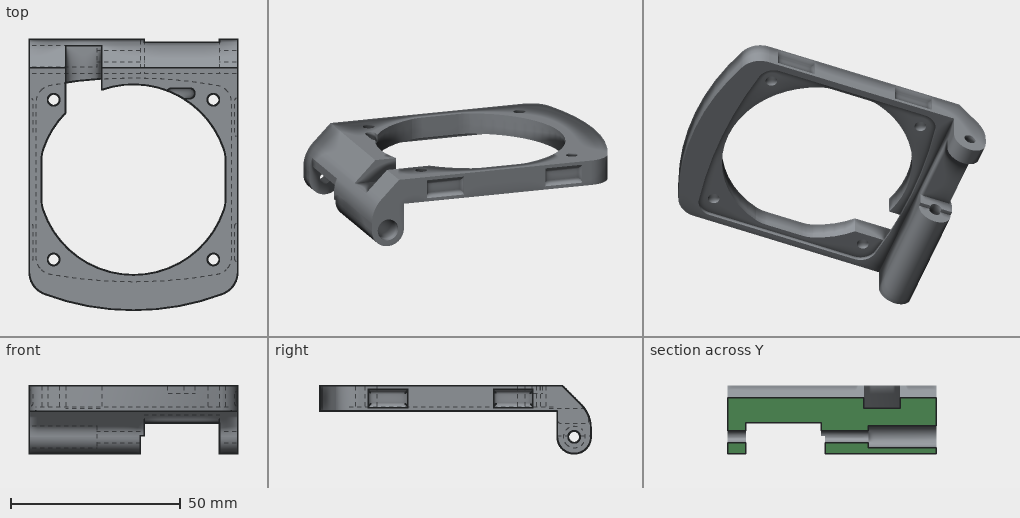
import cadquery as cq
import math


WIDTH = 61.5
LENGTH = 79.8
HEIGHT = 20.0
PLATE_THICKNESS = 7.5
REAR_Y = 41.35
FRONT_ARC_RADIUS = 74.2
FRONT_CORNER_RADIUS = 7.0

OPENING_RADIUS = 28.0
OPENING_WIDTH = 54.1
OPENING_BLEND_RADIUS = 10.0
SCREW_DIAMETER = 3.4
SCREW_SPACING = 47.0

RECESS_DEPTH = 1.3
RECESS_WIDTH = 57.5
RECESS_LENGTH = 60.0
RECESS_BOW_RADIUS = 138.1
RECESS_CORNER_RADIUS = 5.0

WALL_THICKNESS = 10.0
REAR_CHAMFER = 8.5
REAR_BLEND_RADIUS = 10.0
PIN_DIAMETER = 3.4
PIN_BORE_DIAMETER = 6.4
PIN_BORE_DEPTH = 19.95

GAP_LEFT_X = 3.2
GAP_RIGHT_X = 25.3
GAP_CEILING_Z = 9.0
GAP_EDGE_RADIUS = 0.95
GAP_REAR_RELIEF = 0.9
GAP_REAR_RELIEF_TOP_Z = 12.8
KNUCKLE_END_X = 2.0
KNUCKLE_END_CEILING_Z = 5.3

NOTCH_LEFT_X = -19.95
NOTCH_RIGHT_X = -9.4
NOTCH_DEPTH = 6.6

GROOVE_WIDTH = 3.1
GROOVE_DEPTH = 2.15
GROOVE_Y = 25.4
GROOVE_LEFT_X = 9.7
GROOVE_RIGHT_X = 18.0

POCKET_LENGTH = 11.5
POCKET_HEIGHT = 5.5
POCKET_DEPTH = 1.0
POCKET_FLOOR_RADIUS = 0.9
POCKET_SPACING = 36.9

HALF_WIDTH = WIDTH / 2
FRONT_Y = REAR_Y - LENGTH
PLATE_BOTTOM_Z = HEIGHT - PLATE_THICKNESS
WALL_FRONT_Y = REAR_Y - WALL_THICKNESS
KNUCKLE_RADIUS = WALL_THICKNESS / 2
PIN_Y = REAR_Y - KNUCKLE_RADIUS
PIN_Z = KNUCKLE_RADIUS


def box(x_range, y_range, z_range):
    """Box spanning the given (low, high) ranges."""
    spans = [high - low for low, high in (x_range, y_range, z_range)]
    return cq.Workplane("XY").box(*spans, centered=False).translate((x_range[0], y_range[0], z_range[0]))


def plate_outline():
    """Plate with square rear corners and a bowed front with rounded corners."""
    arc_center_y = FRONT_Y + FRONT_ARC_RADIUS
    side_front_y = arc_center_y - math.sqrt(FRONT_ARC_RADIUS**2 - HALF_WIDTH**2)
    return (
        cq.Workplane("XY")
        .moveTo(-HALF_WIDTH, REAR_Y)
        .lineTo(-HALF_WIDTH, side_front_y)
        .threePointArc((0, FRONT_Y), (HALF_WIDTH, side_front_y))
        .lineTo(HALF_WIDTH, REAR_Y)
        .close()
        .extrude(HEIGHT)
        .edges("|Z")
        .edges("<Y")
        .fillet(FRONT_CORNER_RADIUS)
    )


def side_profile():
    """Plate and hinge wall in section, extruded across the whole width."""
    diagonal = math.sqrt(0.5)
    chamfer_foot_z = HEIGHT - REAR_CHAMFER
    tangent_length = REAR_BLEND_RADIUS * math.tan(math.pi / 8)
    blend_center = (REAR_Y - REAR_BLEND_RADIUS, chamfer_foot_z - tangent_length)
    blend_end = tuple(c + REAR_BLEND_RADIUS * diagonal for c in blend_center)
    blend_middle = (
        blend_center[0] + REAR_BLEND_RADIUS * math.cos(math.pi / 8),
        blend_center[1] + REAR_BLEND_RADIUS * math.sin(math.pi / 8),
    )
    return (
        cq.Workplane("YZ", origin=(-HALF_WIDTH, 0, 0))
        .moveTo(FRONT_Y, HEIGHT)
        .lineTo(REAR_Y - REAR_CHAMFER, HEIGHT)
        .lineTo(*blend_end)
        .threePointArc(blend_middle, (REAR_Y, blend_center[1]))
        .lineTo(REAR_Y, PIN_Z)
        .threePointArc((PIN_Y, 0), (WALL_FRONT_Y, PIN_Z))
        .lineTo(WALL_FRONT_Y, PLATE_BOTTOM_Z)
        .lineTo(FRONT_Y, PLATE_BOTTOM_Z)
        .close()
        .extrude(WIDTH)
    )


def opening():
    """Round opening with flattened left and right sides blended into the arcs."""
    disc = cq.Workplane("XY").circle(OPENING_RADIUS).extrude(HEIGHT)
    slab = cq.Workplane("XY").rect(OPENING_WIDTH, WIDTH).extrude(HEIGHT)
    flat_ends = cq.selectors.BoxSelector((-WIDTH, -OPENING_RADIUS / 2, 0), (WIDTH, OPENING_RADIUS / 2, HEIGHT))
    return disc.intersect(slab).edges("|Z").edges(flat_ends).fillet(OPENING_BLEND_RADIUS)


def underside_recess():
    half_width = RECESS_WIDTH / 2
    half_length = RECESS_LENGTH / 2
    bow = RECESS_BOW_RADIUS - math.sqrt(RECESS_BOW_RADIUS**2 - half_width**2)
    corner_y = half_length - bow
    return (
        cq.Workplane("XY", origin=(0, 0, PLATE_BOTTOM_Z))
        .moveTo(-half_width, -corner_y)
        .threePointArc((0, -half_length), (half_width, -corner_y))
        .lineTo(half_width, corner_y)
        .threePointArc((0, half_length), (-half_width, corner_y))
        .close()
        .extrude(RECESS_DEPTH)
        .edges("|Z")
        .fillet(RECESS_CORNER_RADIUS)
    )


def screw_holes():
    return (
        cq.Workplane("XY")
        .rect(SCREW_SPACING, SCREW_SPACING, forConstruction=True)
        .vertices()
        .circle(SCREW_DIAMETER / 2)
        .extrude(HEIGHT)
    )


def pin_holes():
    """Pin hole through the full width, widened into a bore from the left end."""
    left_end = cq.Workplane("YZ", origin=(-HALF_WIDTH, PIN_Y, PIN_Z))
    pin = left_end.circle(PIN_DIAMETER / 2).extrude(WIDTH)
    bore = left_end.circle(PIN_BORE_DIAMETER / 2).extrude(PIN_BORE_DEPTH)
    return pin.union(bore)


def hinge_gap():
    """Opening for the mating knuckle, its ceiling rounded over at the front."""
    gap_x = (GAP_LEFT_X, GAP_RIGHT_X)
    rounding_start = (WALL_FRONT_Y, GAP_CEILING_Z + GAP_EDGE_RADIUS)
    rounding_offset = GAP_EDGE_RADIUS * (1 - math.sqrt(0.5))
    rounding_middle = (WALL_FRONT_Y + rounding_offset, GAP_CEILING_Z + rounding_offset)
    main = (
        cq.Workplane("YZ", origin=(GAP_LEFT_X, 0, 0))
        .moveTo(WALL_FRONT_Y, 0)
        .lineTo(*rounding_start)
        .threePointArc(rounding_middle, (WALL_FRONT_Y + GAP_EDGE_RADIUS, GAP_CEILING_Z))
        .lineTo(REAR_Y, GAP_CEILING_Z)
        .lineTo(REAR_Y, 0)
        .close()
        .extrude(GAP_RIGHT_X - GAP_LEFT_X)
    )
    rear_relief = box(gap_x, (REAR_Y - GAP_REAR_RELIEF, REAR_Y), (0, GAP_REAR_RELIEF_TOP_Z))
    knuckle_end = box((KNUCKLE_END_X, GAP_RIGHT_X), (WALL_FRONT_Y, REAR_Y), (0, KNUCKLE_END_CEILING_Z))
    return main.union(rear_relief).union(knuckle_end)


def rim_notch():
    """Notch open to the rear and to the opening; a thin ledge is left between recess and hinge wall."""
    return box((NOTCH_LEFT_X, NOTCH_RIGHT_X), (0, REAR_Y), (HEIGHT - NOTCH_DEPTH, HEIGHT))


def top_groove():
    return (
        cq.Workplane("XY", origin=((GROOVE_LEFT_X + GROOVE_RIGHT_X) / 2, GROOVE_Y, HEIGHT))
        .slot2D(GROOVE_RIGHT_X - GROOVE_LEFT_X, GROOVE_WIDTH)
        .extrude(-GROOVE_DEPTH)
    )


def snap_pocket(side, y):
    """Pocket in the left (-1) or right (+1) side: 45 degree top and bottom, rounded floor edges."""
    face_x = side * HALF_WIDTH
    floor_x = side * (HALF_WIDTH - POCKET_DEPTH)
    middle_z = HEIGHT - PLATE_THICKNESS / 2
    mouth = POCKET_HEIGHT / 2
    floor = mouth - POCKET_DEPTH
    floor_selector = ">X" if side < 0 else "<X"
    return (
        cq.Workplane("XZ", origin=(0, y + POCKET_LENGTH / 2, middle_z))
        .polyline([(face_x, -mouth), (face_x, mouth), (floor_x, floor), (floor_x, -floor)])
        .close()
        .extrude(POCKET_LENGTH)
        .faces(floor_selector)
        .edges()
        .fillet(POCKET_FLOOR_RADIUS)
    )


result = plate_outline().intersect(side_profile())
cutters = [
    opening(),
    underside_recess(),
    screw_holes(),
    pin_holes(),
    hinge_gap(),
    rim_notch(),
    top_groove(),
]
for cutter in cutters:
    result = result.cut(cutter)
for side in (-1, 1):
    for y in (-POCKET_SPACING / 2, POCKET_SPACING / 2):
        result = result.cut(snap_pocket(side, y))